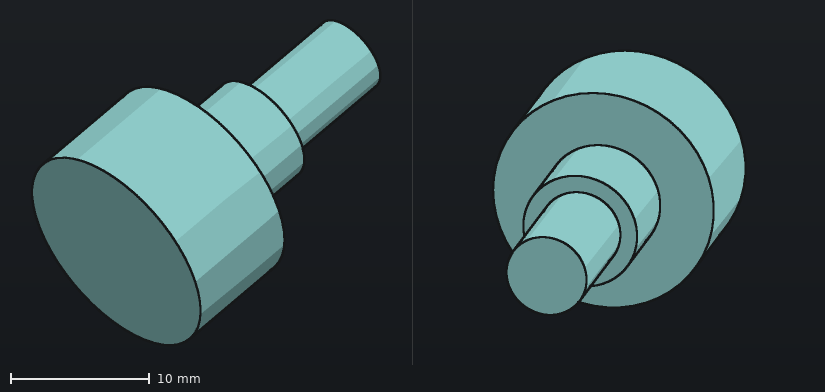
import cadquery as cq

head_diameter = 16.5
head_length = 9
collar_diameter = 8.5
collar_length = 6.5
pin_diameter = 6
total_length = 25
pin_length = total_length - head_length - collar_length


def cylinder_along_y(diameter, start, length):
    """Solid cylinder on the Y axis, running from start toward +Y."""
    base = cq.Workplane("XZ", origin=(0, start, 0))
    return base.circle(diameter / 2).extrude(-length)


head = cylinder_along_y(head_diameter, 0, head_length)
collar = cylinder_along_y(collar_diameter, head_length, collar_length)
pin = cylinder_along_y(pin_diameter, head_length + collar_length, pin_length)

result = head.union(collar).union(pin)